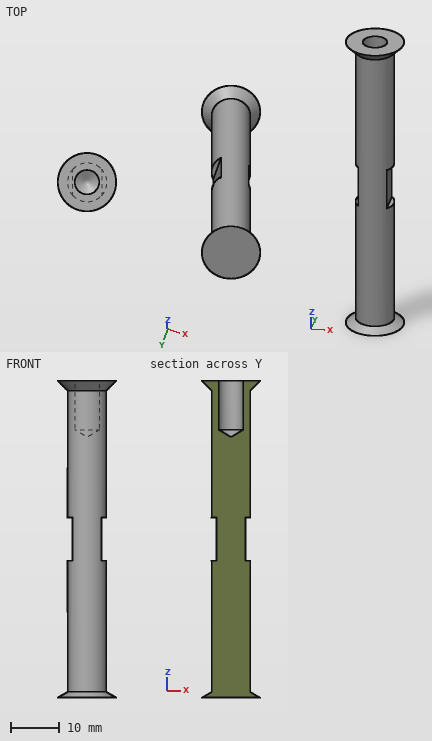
import cadquery as cq
import math

length = 65.0
flange_diameter = 12.0
shaft_diameter = 8.0

top_flange_height = 2.0
bottom_flange_height = 1.2

hole_diameter = 5.0
hole_depth = 10.0
drill_point_angle = 118.0

flat_spacing = 6.0
flat_length = 8.85

flange_radius = flange_diameter / 2
shaft_radius = shaft_diameter / 2
hole_radius = hole_diameter / 2


def make_body():
    """Shaft that flares out to a sharp-edged cone at each end."""
    profile = [
        (0, 0),
        (flange_radius, 0),
        (shaft_radius, bottom_flange_height),
        (shaft_radius, length - top_flange_height),
        (flange_radius, length),
        (0, length),
    ]
    return cq.Workplane("XZ").polyline(profile).close().revolve(360, (0, 0), (0, 1))


def make_hole():
    """Cylinder with a conical tip, open at the top end."""
    tip_height = hole_radius / math.tan(math.radians(drill_point_angle / 2))
    hole_floor = length - hole_depth
    profile = [
        (0, hole_floor - tip_height),
        (hole_radius, hole_floor),
        (hole_radius, length),
        (0, length),
    ]
    return cq.Workplane("XZ").polyline(profile).close().revolve(360, (0, 0), (0, 1))


def make_flat_cutter(side):
    """Block that removes the shaft outside one flat; side is -1 or +1 along X."""
    center_x = side * (flat_spacing + shaft_diameter) / 2
    return (
        cq.Workplane("XY")
        .box(shaft_diameter, shaft_diameter, flat_length)
        .translate((center_x, 0, length / 2))
    )


result = make_body().cut(make_hole())
for side in (-1, 1):
    result = result.cut(make_flat_cutter(side))